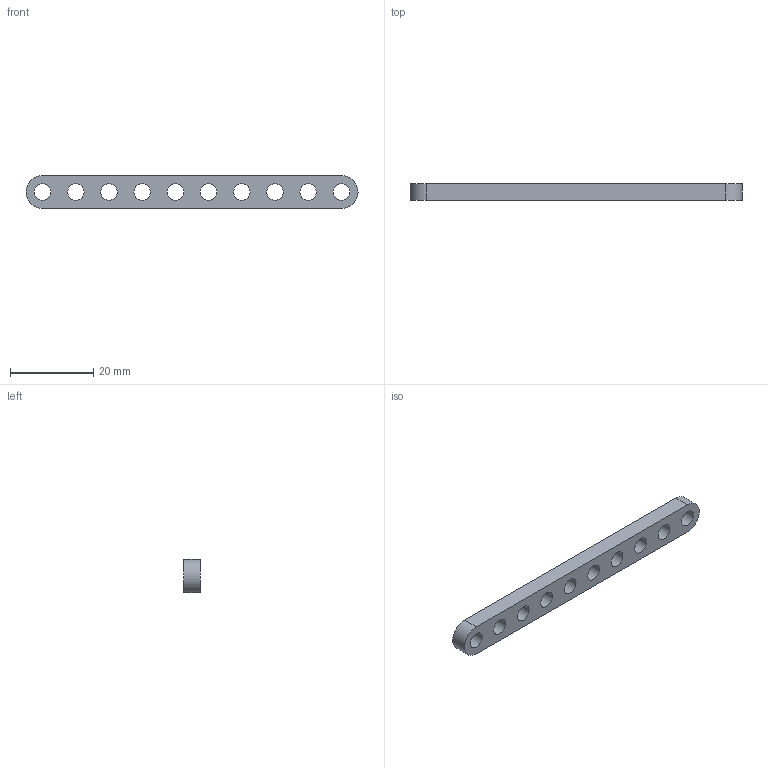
import cadquery as cq

hole_count = 10
hole_pitch = 8.0
hole_diameter = 4.0
bar_height = 8.0
bar_thickness = 4.0

hole_span = (hole_count - 1) * hole_pitch
bar_length = hole_span + bar_height


def make_bar():
    """Flat bar with full-round ends, centred on the origin, thickness along Y."""
    back_face = cq.Workplane("XZ", origin=(0, bar_thickness / 2, 0))
    return back_face.slot2D(bar_length, bar_height).extrude(bar_thickness)


def drill_holes(bar):
    """Row of evenly spaced through holes along the bar's centre line."""
    return (
        bar.faces("<Y")
        .workplane(centerOption="CenterOfBoundBox")
        .rarray(hole_pitch, bar_height, hole_count, 1)
        .hole(hole_diameter)
    )


result = drill_holes(make_bar())